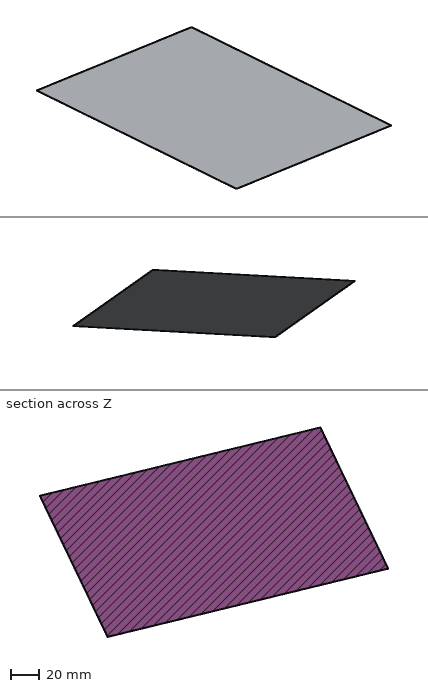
import cadquery as cq

length = 210.0
width = 148.5
thickness = 0.05

result = cq.Workplane("XY").box(length, width, thickness)